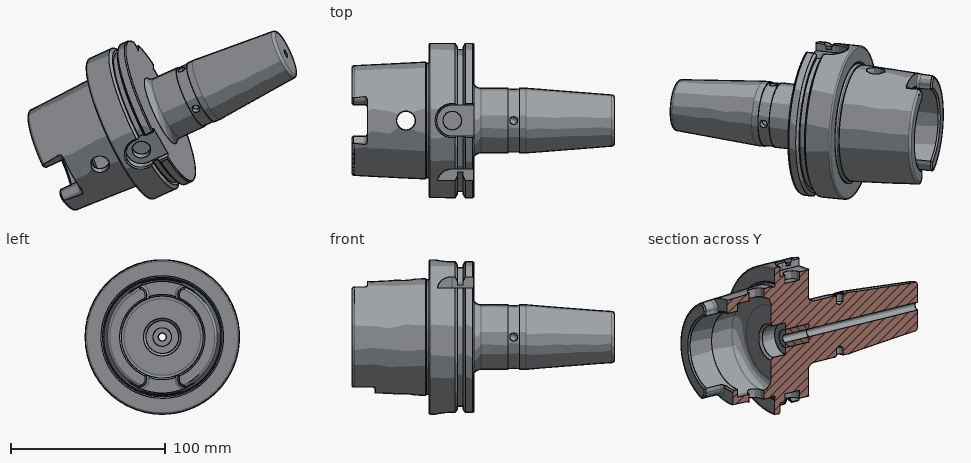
import cadquery as cq
import math


shank_end = -49.95
shank_face_diameter = 76.0
shank_slope = 0.05
shank_end_fillet = 1.6
relief_start = -2.2
relief_start_bevel = 0.5
relief_depth = 0.5
relief_outer_bevel = 1.0
relief_corner_radius = 1.1
relief_radius = 37.2
relief_outer_radius = 39.7

bore_radius = 26.5
bore_length = 19.1
undercut_radius = 31.5
bore_depth = 46.9
bore_floor_fillet = 6.75

seat_radius = 10.6
seat_chamfer = 1.6
seat_depth = 12.0
screw_diameter = 12.0
screw_length = 20.0
coolant_diameter = 5.0

undercut_x = shank_end + bore_length
floor_x = shank_end + bore_depth
seat_floor_x = floor_x + seat_depth
screw_end_x = seat_floor_x + screw_length

slot_half_width = 10.1
slot_flare_radius = 5.0
slot_flare_z = 27.4
slot_floor_fillet = 1.6
slot_edge_chamfer = 1.0
bore_mouth_chamfer = 1.1
upper_slot_depth = 10.0
lower_slot_depth = 15.0

cross_hole_diameter = 12.0
cross_hole_x = -15.0

flange_radius = 50.0
flange_width = 29.0
flange_edge_chamfer_length = 0.9
flange_edge_chamfer_drop = 0.5
flange_edge_fillet = 1.0

groove_center = 20.15
groove_floor_radius = 46.0
groove_floor_width = 3.65
groove_mouth_width = 6.65
groove_flank_depth = 2.3

groove_flat_angle = 26.8
groove_flat_distance = 44.7

pocket_x = 15.0
pocket_floor_z = 43.0
pocket_edge_chamfer = 1.0
pocket_hole_diameter = 12.0
pocket_hole_depth = 5.4

notch_floor_z = 31.6
notch_wall_y = -31.35
notch_cutter_radius = 9.8
notch_x = 14.8

nose_end = 120.0
nose_radius = 21.0
neck_fillet_radius = 5.5
neck_fillet_end = 33.5
balance_groove_start = 50.9
balance_groove_end = 58.5
balance_groove_depth = 0.5
nose_taper_start = 62.7
nose_taper_angle = 4.5
nose_end_fillet = 2.0

balance_hole_diameter = 5.0
balance_hole_depth = 5.0
balance_hole_count = 4
drill_point_angle = 118.0

chamfer_angle = 45.0
margin = 0.5


def cylinder_x(radius, x_start, x_end):
    return cq.Workplane("YZ").workplane(offset=x_start).circle(radius).extrude(x_end - x_start)


def revolve_x(profile):
    return profile.close().revolve(360, (0, 0, 0), (1, 0, 0))


def make_shank():
    end_radius = shank_face_diameter / 2 + shank_slope * shank_end
    relief_start_radius = shank_face_diameter / 2 + shank_slope * relief_start
    shank = revolve_x(
        cq.Workplane("XY")
        .moveTo(shank_end, 0)
        .lineTo(shank_end, end_radius)
        .lineTo(relief_start, relief_start_radius)
        .lineTo(relief_start + relief_start_bevel, relief_radius)
        .lineTo(relief_depth - relief_corner_radius, relief_radius)
        .radiusArc((relief_depth, relief_radius + relief_corner_radius), -relief_corner_radius)
        .lineTo(relief_depth, 0)
    )
    return shank.faces("<X").edges().fillet(shank_end_fillet)


def slot_profile(growth):
    """Slot outline on the end face, widened by `growth`: straight walls that flare out near the surface."""
    wall = slot_half_width + growth
    radius = slot_flare_radius - growth
    flare_center_y = slot_half_width + slot_flare_radius
    flare_top = slot_flare_z + radius
    diagonal = radius * math.sqrt(0.5)
    far = flange_radius
    return (
        cq.Workplane("YZ").workplane(offset=shank_end)
        .moveTo(-wall, 0)
        .lineTo(-wall, slot_flare_z)
        .threePointArc((-flare_center_y + diagonal, slot_flare_z + diagonal), (-flare_center_y, flare_top))
        .lineTo(-far, flare_top)
        .lineTo(-far, far)
        .lineTo(far, far)
        .lineTo(far, flare_top)
        .lineTo(flare_center_y, flare_top)
        .threePointArc((flare_center_y - diagonal, slot_flare_z + diagonal), (wall, slot_flare_z))
        .lineTo(wall, 0)
        .close()
    )


def make_slot_cutter(depth):
    """Slot cutter whose inner end is rounded along the walls, leaving the floor fillets."""
    slot = slot_profile(0).extrude(depth)
    return slot.faces(">X").edges("not(<Z or >Z or <Y or >Y)").fillet(slot_floor_fillet)


def make_slot_floor_chamfer(depth):
    """Conical cut where a slot floor meets the bore, kept between the floor fillets."""
    floor = shank_end + depth
    width = 2 * (slot_half_width - slot_floor_fillet)
    cone = cq.Workplane("YZ").workplane(offset=floor).circle(bore_radius + bore_mouth_chamfer)
    cone = cone.extrude(bore_mouth_chamfer, taper=chamfer_angle)
    band = cq.Workplane("XY").box(bore_mouth_chamfer, width, flange_radius, (False, True, False))
    return cone.intersect(band.translate((floor, 0, 0)))


def cut_slots(shank):
    """Shank with its drive slots, chamfered where they meet the end face and the bore."""
    shank = shank.cut(cylinder_x(bore_radius, shank_end, undercut_x))
    front_chamfer = slot_profile(slot_edge_chamfer).extrude(slot_edge_chamfer, taper=chamfer_angle)
    for depth, is_lower in ((upper_slot_depth, False), (lower_slot_depth, True)):
        for cutter in (make_slot_cutter(depth), front_chamfer, make_slot_floor_chamfer(depth)):
            shank = shank.cut(cutter.mirror("XY") if is_lower else cutter)
    mouth = cq.Workplane("YZ").workplane(offset=shank_end).circle(bore_radius + bore_mouth_chamfer)
    return shank.cut(mouth.extrude(bore_mouth_chamfer, taper=chamfer_angle))


def make_flange():
    blank = cylinder_x(flange_radius, 0, flange_width)
    pocket = make_pocket_cutter()
    hole = (
        cq.Workplane("XY").workplane(offset=pocket_floor_z)
        .center(pocket_x, 0)
        .circle(pocket_hole_diameter / 2)
        .extrude(-pocket_hole_depth)
    )
    for cutter in (pocket, hole):
        blank = blank.cut(cutter).cut(cutter.mirror("XY"))
    return chamfer_pocket_rims(blank).intersect(make_flange_envelope())


def make_pocket_cutter():
    return (
        cq.Workplane("XY").workplane(offset=pocket_floor_z)
        .moveTo(flange_width, -slot_half_width)
        .lineTo(pocket_x, -slot_half_width)
        .threePointArc((pocket_x - slot_half_width, 0), (pocket_x, slot_half_width))
        .lineTo(flange_width, slot_half_width)
        .close()
        .extrude(flange_radius - pocket_floor_z)
    )


def chamfer_pocket_rims(blank):
    """Chamfer the edges where the pocket walls meet the outside of the flange."""
    rim_z = math.sqrt(flange_radius**2 - slot_half_width**2)
    half_width = slot_half_width + margin
    for side in (1, -1):
        rim_edges = cq.selectors.BoxSelector(
            (margin, -half_width, side * (rim_z - margin)),
            (flange_width - margin, half_width, side * (flange_radius + margin)),
        )
        blank = blank.edges(rim_edges).chamfer(pocket_edge_chamfer)
    return blank


def make_flange_envelope():
    """Turned outline of the flange with the face undercut and the gripper groove."""
    mouth = groove_mouth_width / 2
    floor = groove_floor_width / 2
    flank_radius = flange_radius - groove_flank_depth
    edge_radius = flange_radius - flange_edge_chamfer_drop
    return revolve_x(
        cq.Workplane("XY")
        .moveTo(relief_depth, 0)
        .lineTo(relief_depth, relief_outer_radius - relief_outer_bevel)
        .lineTo(0, relief_outer_radius)
        .lineTo(0, flange_radius - flange_edge_fillet)
        .radiusArc((flange_edge_fillet, flange_radius), flange_edge_fillet)
        .lineTo(groove_center - mouth, flange_radius)
        .lineTo(groove_center - floor, flank_radius)
        .lineTo(groove_center - floor, groove_floor_radius)
        .lineTo(groove_center + floor, groove_floor_radius)
        .lineTo(groove_center + floor, flank_radius)
        .lineTo(groove_center + mouth, flange_radius)
        .lineTo(flange_width - flange_edge_chamfer_length, flange_radius)
        .lineTo(flange_width, edge_radius)
        .lineTo(flange_width, 0)
    )


def make_notch_cutter():
    arc_end_x = notch_x - notch_cutter_radius
    arc_end_y = notch_wall_y - notch_cutter_radius
    return (
        cq.Workplane("XY").workplane(offset=notch_floor_z)
        .moveTo(flange_width, notch_wall_y)
        .lineTo(notch_x, notch_wall_y)
        .radiusArc((arc_end_x, arc_end_y), -notch_cutter_radius)
        .lineTo(arc_end_x, -flange_radius)
        .lineTo(flange_width, -flange_radius)
        .close()
        .extrude(flange_radius - notch_floor_z)
    )


def make_groove_flat_cutter():
    half_chord = math.sqrt(groove_floor_radius**2 - groove_flat_distance**2)
    height = groove_floor_radius - groove_flat_distance
    block = cq.Workplane("XY").box(groove_floor_width, 2 * half_chord, height, (True, True, False))
    block = block.translate((groove_center, 0, groove_flat_distance))
    return block.rotate((0, 0, 0), (1, 0, 0), groove_flat_angle)


def make_nose():
    fillet_length = neck_fillet_end - flange_width
    fillet_rise = neck_fillet_radius - math.sqrt(neck_fillet_radius**2 - fillet_length**2)
    groove_radius = nose_radius - balance_groove_depth
    taper_length = nose_end - nose_taper_start
    tip_radius = nose_radius - taper_length * math.tan(math.radians(nose_taper_angle))
    nose = revolve_x(
        cq.Workplane("XY")
        .moveTo(flange_width, 0)
        .lineTo(flange_width, nose_radius + fillet_rise)
        .radiusArc((neck_fillet_end, nose_radius), -neck_fillet_radius)
        .lineTo(balance_groove_start, nose_radius)
        .lineTo(balance_groove_start, groove_radius)
        .lineTo(balance_groove_end, groove_radius)
        .lineTo(balance_groove_end, nose_radius)
        .lineTo(nose_taper_start, nose_radius)
        .lineTo(nose_end, tip_radius)
        .lineTo(nose_end, 0)
    )
    return nose.faces(">X").edges().fillet(nose_end_fillet)


def make_balance_hole_cutter():
    radius = balance_hole_diameter / 2
    bottom = nose_radius - balance_groove_depth - balance_hole_depth
    tip = bottom - radius / math.tan(math.radians(drill_point_angle / 2))
    x = (balance_groove_start + balance_groove_end) / 2
    return (
        cq.Workplane("XZ")
        .moveTo(x, tip)
        .lineTo(x + radius, bottom)
        .lineTo(x + radius, nose_radius)
        .lineTo(x, nose_radius)
        .close()
        .revolve(360, (x, 0, 0), (x, 1, 0))
    )


def make_bore_cutter():
    undercut = cylinder_x(undercut_radius, undercut_x, floor_x)
    undercut = undercut.faces(">X").edges().fillet(bore_floor_fillet)
    return cylinder_x(bore_radius, shank_end, undercut_x).union(undercut)


def make_holder():
    holder = cut_slots(make_shank()).union(make_flange()).union(make_nose())
    holder = holder.cut(make_notch_cutter()).cut(make_groove_flat_cutter())

    holder = holder.cut(make_bore_cutter())
    hole = cq.Workplane("XY").center(cross_hole_x, 0).circle(cross_hole_diameter / 2)
    holder = holder.cut(hole.extrude(flange_radius, both=True))

    seat_mouth = cq.Workplane("YZ").workplane(offset=floor_x).circle(seat_radius + seat_chamfer)
    holder = holder.cut(seat_mouth.extrude(seat_chamfer, taper=chamfer_angle))
    holder = holder.cut(cylinder_x(seat_radius, floor_x, seat_floor_x))
    holder = holder.cut(cylinder_x(screw_diameter / 2, seat_floor_x, screw_end_x))
    holder = holder.cut(cylinder_x(coolant_diameter / 2, screw_end_x, nose_end))

    balance_hole = make_balance_hole_cutter()
    for index in range(balance_hole_count):
        angle = index * 360 / balance_hole_count
        holder = holder.cut(balance_hole.rotate((0, 0, 0), (1, 0, 0), angle))
    return holder


def make_screw():
    screw = cylinder_x(screw_diameter / 2, seat_floor_x, screw_end_x)
    return screw.cut(cylinder_x(coolant_diameter / 2, seat_floor_x, screw_end_x))


holder = make_holder()
screw = make_screw()

result = cq.Compound.makeCompound([holder.val(), screw.val()])